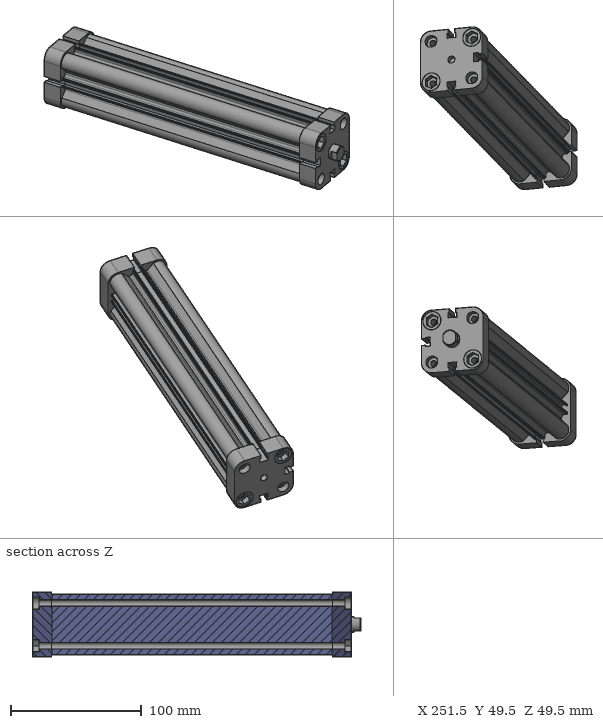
import cadquery as cq
import math

overall_length = 251.5
rod_reach = 7.3
cap_length = 14.5
caps_end = overall_length - rod_reach
tube_length = caps_end - 2 * cap_length

cap_width = 49.5
cap_half = cap_width / 2
bolt_offset = 16.3
cap_corner_radius = cap_half - bolt_offset
bolt_hole_diameter = 4.8
counterbore_diameter = 9.3
head_recess_depth = 5.0
hexagon_flats = 9.0
seat_diameter = 14.3
seat_depth = 0.3
centre_hole_diameter = 5.5
centre_hole_depth = 5.0

slot_neck_width = 5.3
slot_pocket_width = 7.0
slot_neck_depth = 3.3
slot_depth = 7.0
slot_neck_half = slot_neck_width / 2
slot_half = slot_pocket_width / 2
slot_shoulder = cap_half - slot_neck_depth
slot_floor = cap_half - slot_depth

lobe_diameter = 13.8
lobe_radius = lobe_diameter / 2
lobe_edge = 13.3
groove_radius = 2.0
groove_slope = 45.0
groove_round_start = 8.5
groove_bottom = 7.3
foot_radius = 1.5
lip_half = 4.3
lip_top = 22.5
lip_chamfer = 0.8
foot_slope = 20.0

rod_diameter = 12.0
rod_flats_width = 10.0
flat_start = 2.5
flat_run_in = 1.0
rod_chamfer = 0.5


def along_x(x):
    """Sketch plane facing +X, with sketch x = Y and sketch y = Z."""
    return cq.Workplane("YZ", origin=(x, 0, 0))


def turned(point, quarters):
    """Point (y, z) turned about the X axis by whole quarter turns, from +Z towards +Y."""
    y, z = point
    for _ in range(quarters):
        y, z = z, -y
    return y, z


def groove_corners():
    """Corner points (y, z) of the groove right of the +Z slot, and the middle of its round."""
    slope = math.radians(groove_slope)
    lobe_edge_z = bolt_offset + math.sqrt(lobe_radius**2 - (bolt_offset - lobe_edge) ** 2)

    round_start_z = lobe_edge_z - (lobe_edge - groove_round_start) * math.tan(slope)
    centre_y = groove_round_start - groove_radius * math.sin(slope)
    centre_z = round_start_z + groove_radius * math.cos(slope)
    end_slope = math.asin((groove_bottom - centre_y) / groove_radius)
    middle_slope = (slope + end_slope) / 2
    bottom_z = centre_z - groove_radius * math.cos(end_slope)

    foot_y = lip_half + foot_radius
    foot_z = bottom_z + (groove_bottom - foot_y) * math.tan(math.radians(foot_slope))
    foot_inset = foot_radius * (1 - math.sqrt(0.5))
    return {
        "foot top": (lip_half, foot_z + foot_radius),
        "foot middle": (lip_half + foot_inset, foot_z + foot_inset),
        "foot": (foot_y, foot_z),
        "bottom": (groove_bottom, bottom_z),
        "round middle": (
            centre_y + groove_radius * math.sin(middle_slope),
            centre_z - groove_radius * math.cos(middle_slope),
        ),
        "round start": (groove_round_start, round_start_z),
        "lobe edge": (lobe_edge, lobe_edge_z),
    }


def tube_outline():
    """Closed outline of the tube; each quarter is symmetric about the diagonal through its lobe."""
    groove = groove_corners()
    lip = [
        (slot_half, slot_floor),
        (slot_half, slot_shoulder),
        (slot_neck_half, slot_shoulder),
        (slot_neck_half, lip_top),
        (lip_half - lip_chamfer, lip_top),
        (lip_half, lip_top - lip_chamfer),
        groove["foot top"],
    ]
    lobe_tip = bolt_offset + lobe_radius * math.sqrt(0.5)
    outline = along_x(cap_length).moveTo(-slot_half, slot_floor)
    for quarters in range(4):
        for point in lip:
            outline = outline.lineTo(*turned(point, quarters))
        outline = (
            outline
            .threePointArc(turned(groove["foot middle"], quarters), turned(groove["foot"], quarters))
            .lineTo(*turned(groove["bottom"], quarters))
            .threePointArc(turned(groove["round middle"], quarters), turned(groove["round start"], quarters))
            .lineTo(*turned(groove["lobe edge"], quarters))
            .threePointArc(
                turned((lobe_tip, lobe_tip), quarters),
                turned(groove["lobe edge"][::-1], quarters),
            )
            .lineTo(*turned(groove["round start"][::-1], quarters))
            .threePointArc(
                turned(groove["round middle"][::-1], quarters),
                turned(groove["bottom"][::-1], quarters),
            )
            .lineTo(*turned(groove["foot"][::-1], quarters))
            .threePointArc(
                turned(groove["foot middle"][::-1], quarters),
                turned(groove["foot top"][::-1], quarters),
            )
        )
        for point in reversed(lip[:-1]):
            outline = outline.lineTo(*turned(point[::-1], quarters))
    return outline.close()


def bolt_points():
    """Bolt axes (y, z), one in each corner."""
    return [(y * bolt_offset, z * bolt_offset) for y in (-1, 1) for z in (-1, 1)]


def make_tube():
    holes = along_x(cap_length).pushPoints(bolt_points()).circle(bolt_hole_diameter / 2).extrude(tube_length)
    return tube_outline().extrude(tube_length).cut(holes)


def slot_cutter(turn):
    """Cap-length T-slot open towards +Z, turned about the X axis by an angle in degrees."""
    neck_height = cap_half - slot_shoulder
    neck = (
        along_x(0)
        .center(0, slot_shoulder + neck_height / 2)
        .rect(2 * slot_neck_half, neck_height)
        .extrude(cap_length)
    )
    pocket_height = slot_shoulder - slot_floor
    pocket = (
        along_x(0)
        .center(0, slot_floor + pocket_height / 2)
        .rect(2 * slot_half, pocket_height)
        .extrude(cap_length)
    )
    return neck.union(pocket).rotate((0, 0, 0), (1, 0, 0), turn)


def hexagon_cutter(y, z):
    """Hexagon pocket from the outer cap face, with two corners pointing along Z."""
    across_corners = 2 * hexagon_flats / math.sqrt(3)
    hexagon = along_x(0).polygon(6, across_corners).extrude(head_recess_depth)
    return hexagon.rotate((0, 0, 0), (1, 0, 0), 90).translate((0, y, z))


def make_cap():
    """Cap with its outer face at X = 0; the side facing +Y has no slot."""
    cap = along_x(0).rect(cap_width, cap_width).extrude(cap_length)
    cap = cap.edges("|X").fillet(cap_corner_radius)
    for turn in (0, 90, 180):
        cap = cap.cut(slot_cutter(turn))
    bolt_holes = along_x(0).pushPoints(bolt_points()).circle(bolt_hole_diameter / 2).extrude(cap_length)
    counterbore_points = [(-bolt_offset, -bolt_offset), (bolt_offset, bolt_offset)]
    counterbores = (
        along_x(0)
        .pushPoints(counterbore_points)
        .circle(counterbore_diameter / 2)
        .extrude(head_recess_depth)
    )
    cap = cap.cut(bolt_holes).cut(counterbores)
    for y, z in ((-bolt_offset, bolt_offset), (bolt_offset, -bolt_offset)):
        cap = cap.cut(hexagon_cutter(y, z))
        cap = cap.cut(along_x(0).center(y, z).circle(seat_diameter / 2).extrude(seat_depth))
    return cap


def make_rear_cap():
    hole = along_x(0).circle(centre_hole_diameter / 2).extrude(centre_hole_depth)
    return make_cap().cut(hole)


def make_front_cap():
    """Mirror image of the plain cap, with a through bore for the rod."""
    cap = make_cap().mirror("YZ", (caps_end / 2, 0, 0))
    bore = along_x(caps_end - cap_length).circle(rod_diameter / 2).extrude(cap_length)
    return cap.cut(bore)


def make_rod():
    """Rod from the end of the tube through the front cap, with two flats on its free end."""
    start = caps_end - cap_length
    rod = along_x(start).circle(rod_diameter / 2).extrude(overall_length - start)
    rod = rod.faces(">X").chamfer(rod_chamfer)
    flat_y = rod_flats_width / 2
    rise = rod_diameter / 2 - flat_y
    flat_x = caps_end + flat_start
    flat = (
        cq.Workplane("XY", origin=(0, 0, -rod_diameter / 2))
        .moveTo(flat_x, flat_y)
        .lineTo(flat_x - flat_run_in, flat_y + rise)
        .lineTo(overall_length, flat_y + rise)
        .lineTo(overall_length, flat_y)
        .close()
        .extrude(rod_diameter)
    )
    return rod.cut(flat).cut(flat.mirror("XZ"))


tube = make_tube()
rear_cap = make_rear_cap()
front_cap = make_front_cap()
rod = make_rod()

result = cq.Compound.makeCompound([tube.val(), rear_cap.val(), front_cap.val(), rod.val()])